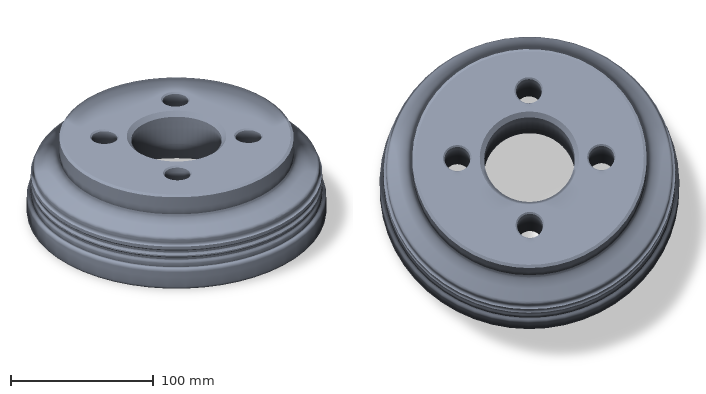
import cadquery as cq

HEIGHT = 63.0
RING_RADIUS = 210.0 / 2
RIM_RADIUS = 204.5 / 2
GROOVE_RADIUS = 201.5 / 2
SHOULDER_RADIUS = 200.5 / 2
BOSS_RADIUS = 164.3 / 2
BOSS_TOP_RADIUS = 160.3 / 2
NECK_RADIUS = 83.5

BOSS_EDGE_DROP = 1.0
NECK_TOP = 48.1
CONE_TOP = 47.0
CONE_BOTTOM = 39.3
SHOULDER_ROUND = 2.5
COVE_RADIUS = RIM_RADIUS - SHOULDER_RADIUS
TOP_LAND = 33.6

GROOVE_COUNT = 2
GROOVE_BOTTOM = 20.8
GROOVE_PITCH = 5.7
GROOVE_WIDTH = 4.6
GROOVE_FLANK = 1.5
LOWER_LAND_ROUND = 2.0

BORE_RADIUS = 63.5 / 2
BORE_CHAMFER = 3.2
BOLT_RADIUS = 18.0 / 2
BOLT_CHAMFER = 1.0
COUNTERSINK_HALF_ANGLE = 45.0
COUNTERSINK_DEPTH = 2 * BOLT_CHAMFER
BOLT_SPACING = 71.5
CAVITY_RADIUS = 75.6
WEB_BOTTOM = 37.8

PLATE_RADIUS = 128.5 / 2
PLATE_BORE_RADIUS = 63.9 / 2
PLATE_THICKNESS = 9.7

RING_HEIGHT = 17.0
RING_ROUND = 2.5

SELECT_MARGIN = 0.2


def revolve_about_z(profile):
    """Revolve a closed radius-height profile about the Z axis."""
    return profile.close().revolve(360, (0, 0, 0), (0, 1, 0))


def circles_at_height(height):
    """Select the circular edges centred on the Z axis at the given height."""
    return cq.selectors.BoxSelector(
        (-RING_RADIUS, -RING_RADIUS, height - SELECT_MARGIN),
        (RING_RADIUS, RING_RADIUS, height + SELECT_MARGIN),
    )


def bolt_cylinders(radius, bottom, height):
    """Four cylinders on the square bolt pattern."""
    return (
        cq.Workplane("XY")
        .workplane(offset=bottom)
        .rarray(BOLT_SPACING, BOLT_SPACING, 2, 2)
        .circle(radius)
        .extrude(height)
    )


def bolt_countersinks():
    """Four 45 degree cones that break the bolt hole edges at the top face."""
    return (
        cq.Workplane("XY")
        .workplane(offset=HEIGHT)
        .rarray(BOLT_SPACING, BOLT_SPACING, 2, 2)
        .circle(BOLT_RADIUS + BOLT_CHAMFER)
        .extrude(-COUNTERSINK_DEPTH, taper=COUNTERSINK_HALF_ANGLE)
    )


def make_pulley():
    """Stepped shell with a grooved rim, a bored web and an open underside."""
    profile = cq.Workplane("XZ").moveTo(CAVITY_RADIUS, 0).lineTo(RIM_RADIUS, 0)
    for index in range(GROOVE_COUNT):
        start = GROOVE_BOTTOM + index * GROOVE_PITCH
        end = start + GROOVE_WIDTH
        profile = (
            profile.lineTo(RIM_RADIUS, start)
            .lineTo(GROOVE_RADIUS, start + GROOVE_FLANK)
            .lineTo(GROOVE_RADIUS, end - GROOVE_FLANK)
            .lineTo(RIM_RADIUS, end)
        )
    profile = (
        profile.lineTo(RIM_RADIUS, TOP_LAND)
        .radiusArc((SHOULDER_RADIUS, TOP_LAND + COVE_RADIUS), COVE_RADIUS)
        .lineTo(SHOULDER_RADIUS, CONE_BOTTOM)
        .lineTo(NECK_RADIUS, CONE_TOP)
        .lineTo(BOSS_RADIUS, NECK_TOP)
        .lineTo(BOSS_RADIUS, HEIGHT - BOSS_EDGE_DROP)
        .lineTo(BOSS_TOP_RADIUS, HEIGHT)
        .lineTo(BORE_RADIUS + BORE_CHAMFER, HEIGHT)
        .lineTo(BORE_RADIUS, HEIGHT - BORE_CHAMFER)
        .lineTo(BORE_RADIUS, WEB_BOTTOM)
        .lineTo(CAVITY_RADIUS, WEB_BOTTOM)
    )
    shell = revolve_about_z(profile)
    shell = shell.edges(circles_at_height(CONE_BOTTOM)).fillet(SHOULDER_ROUND)
    shell = shell.edges(circles_at_height(GROOVE_BOTTOM)).fillet(LOWER_LAND_ROUND)
    shell = shell.cut(bolt_cylinders(BOLT_RADIUS, WEB_BOTTOM, HEIGHT - WEB_BOTTOM))
    return shell.cut(bolt_countersinks())


def make_backing_plate():
    """Round plate against the web, with the bore and bolt holes through it."""
    bottom = WEB_BOTTOM - PLATE_THICKNESS
    plate = (
        cq.Workplane("XY")
        .workplane(offset=bottom)
        .circle(PLATE_RADIUS)
        .circle(PLATE_BORE_RADIUS)
        .extrude(PLATE_THICKNESS)
    )
    return plate.cut(bolt_cylinders(BOLT_RADIUS, bottom, PLATE_THICKNESS))


def make_outer_ring():
    """Sleeve around the lower rim, rounded at both outer edges."""
    ring = cq.Workplane("XY").circle(RING_RADIUS).extrude(RING_HEIGHT).edges().fillet(RING_ROUND)
    return ring.cut(cq.Workplane("XY").circle(RIM_RADIUS).extrude(RING_HEIGHT))


pulley = make_pulley()
backing_plate = make_backing_plate()
outer_ring = make_outer_ring()

result = cq.Compound.makeCompound([pulley.val(), backing_plate.val(), outer_ring.val()])